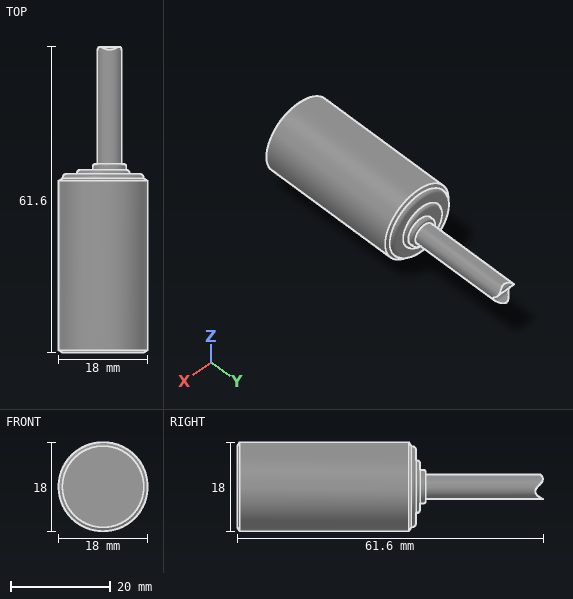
import cadquery as cq

housing_diameter = 18.0
housing_length = 35.1
rim_chamfer_axial = 0.5
rim_chamfer_radial = 0.8

cap_diameter = housing_diameter - 2 * rim_chamfer_radial
cap_thickness = 0.95
cap_fillet = 0.9
step_diameter = 10.7
step_thickness = 0.8
step_fillet = 0.75
collar_diameter = 6.8
collar_thickness = 1.15
collar_fillet = 0.5

cable_diameter = 5.0
cable_offset = 1.3
overall_length = 61.6
break_top_drop = 0.6
break_trough_depth = 1.55
break_trough_height = -0.9
break_crest_height = 1.55
break_tip_direction = (-2, 1)
break_top_direction = (-1, 1)


def disc(diameter, start, end, offset=0.0):
    """Cylinder along Y between two Y positions, its axis moved along X by the offset."""
    plane = cq.Workplane("XZ", origin=(offset, start, 0))
    return plane.circle(diameter / 2).extrude(start - end)


def make_housing():
    """Cylinder with the same chamfer on both rims."""
    radius = housing_diameter / 2
    face_radius = radius - rim_chamfer_radial
    profile = (
        cq.Workplane("XY")
        .lineTo(face_radius, 0)
        .lineTo(radius, rim_chamfer_axial)
        .lineTo(radius, housing_length - rim_chamfer_axial)
        .lineTo(face_radius, housing_length)
        .lineTo(0, housing_length)
        .close()
    )
    return profile.revolve(360, (0, 0), (0, 1))


def make_cable(start):
    """Cable whose end is cut by a wave: a crest above the axis and a trough below it."""
    radius = cable_diameter / 2
    wave_points = [
        (overall_length, -radius),
        (overall_length - break_trough_depth, break_trough_height),
        (overall_length, break_crest_height),
        (overall_length - break_top_drop, radius),
    ]
    straight_up = (0, 1)
    wave_tangents = [break_tip_direction, straight_up, straight_up, break_top_direction]
    wave = (
        cq.Workplane("YZ", origin=(cable_offset - radius, 0, 0))
        .moveTo(start, -radius)
        .lineTo(*wave_points[0])
        .spline(wave_points[1:], tangents=wave_tangents, includeCurrent=True)
        .lineTo(start, radius)
        .close()
        .extrude(cable_diameter)
    )
    return disc(cable_diameter, start, overall_length, cable_offset).intersect(wave)


def make_cap_with_cable():
    """Three rounded steps of falling diameter, then the cable; only the lower two share the housing axis."""
    steps = [
        (cap_diameter, cap_thickness, cap_fillet, 0.0),
        (step_diameter, step_thickness, step_fillet, 0.0),
        (collar_diameter, collar_thickness, collar_fillet, cable_offset),
    ]
    body = cq.Workplane("XY")
    start = housing_length
    for diameter, thickness, fillet, offset in steps:
        end = start + thickness
        body = body.add(disc(diameter, start, end, offset).edges(">Y").fillet(fillet))
        start = end
    return body.add(make_cable(start)).combine()


housing = make_housing()
cap_with_cable = make_cap_with_cable()
result = cq.Compound.makeCompound([housing.val(), cap_with_cable.val()])